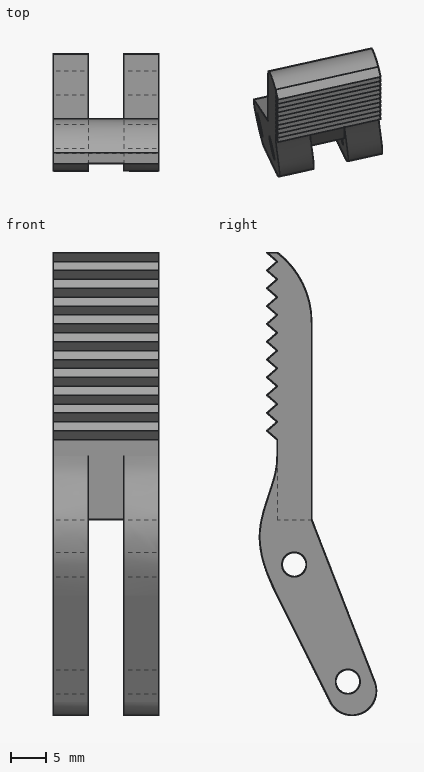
import cadquery as cq
import math

height = 65.9
width = 15.0
slot_width = width / 3

tooth_count = 10
tooth_pitch = 2.54
tooth_root_y = -4.95
tooth_tip_y = -6.4
tip_back_y = -4.9
tip_arc_start_z = 56.0
tip_arc_radius = 12.5

bend_z = 27.9
swell_start_z = 36.9
swell_middle = (-6.0, 31.8)
bulge_apex = (-7.45, 25.5)
bulge_end = (-4.95, 17.1)

end_radius = 3.5
end_center = (5.75, end_radius)
hole_diameter = 3.4
hole_centers = [(-2.5, 21.5), (5.15, 4.8)]


def tangent_point(point, side):
    """Point where a line from `point` touches the rounded end; side is +1 or -1."""
    dy = point[0] - end_center[0]
    dz = point[1] - end_center[1]
    angle = math.atan2(dz, dy) + side * math.acos(end_radius / math.hypot(dy, dz))
    return (
        end_center[0] + end_radius * math.cos(angle),
        end_center[1] + end_radius * math.sin(angle),
    )


def make_body():
    """Side profile in the YZ plane, extruded over the full width."""
    back_bend = (0, bend_z)
    end_bottom = (end_center[0], end_center[1] - end_radius)
    leg_front_end = tangent_point(bulge_end, 1)
    jaw_direction = (0, -1)
    leg_direction = (leg_front_end[0] - bulge_end[0], leg_front_end[1] - bulge_end[1])
    leg_length = math.hypot(*leg_direction)
    leg_direction = (leg_direction[0] / leg_length, leg_direction[1] / leg_length)
    profile = (
        cq.Workplane("YZ")
        .moveTo(*back_bend)
        .lineTo(0, tip_arc_start_z)
        .radiusArc((tip_back_y, height), -tip_arc_radius)
        .lineTo(tooth_tip_y, height)
    )
    for tooth in range(tooth_count):
        tip_z = height - tooth * tooth_pitch
        profile = profile.lineTo(tooth_root_y, tip_z - tooth_pitch / 2)
        profile = profile.lineTo(tooth_tip_y, tip_z - tooth_pitch)
    last_root_z = height - (tooth_count + 0.5) * tooth_pitch
    profile = (
        profile.lineTo(tooth_root_y, last_root_z)
        .lineTo(tooth_root_y, swell_start_z)
        .spline(
            [swell_middle, bulge_apex, bulge_end],
            tangents=[jaw_direction, leg_direction],
            includeCurrent=True,
        )
        .lineTo(*leg_front_end)
        .threePointArc(end_bottom, tangent_point(back_bend, -1))
        .close()
    )
    return profile.extrude(width / 2, both=True)


def cut_leg_slot(body):
    """Separate the legs below the bend and keep the web between them flush with the tooth roots."""
    box = body.val().BoundingBox()
    below_bend = cq.Workplane("XY").box(
        slot_width, box.ylen, bend_z, centered=(True, False, False)
    ).translate((0, box.ymin, 0))
    ahead_of_web = cq.Workplane("XY").box(
        slot_width, tooth_root_y - box.ymin, swell_start_z, centered=(True, False, False)
    ).translate((0, box.ymin, 0))
    return body.cut(below_bend).cut(ahead_of_web)


def cut_pivot_holes(body):
    """Drill both pivot holes across the legs."""
    holes = (
        cq.Workplane("YZ")
        .pushPoints(hole_centers)
        .circle(hole_diameter / 2)
        .extrude(width, both=True)
    )
    return body.cut(holes)


result = cut_pivot_holes(cut_leg_slot(make_body()))